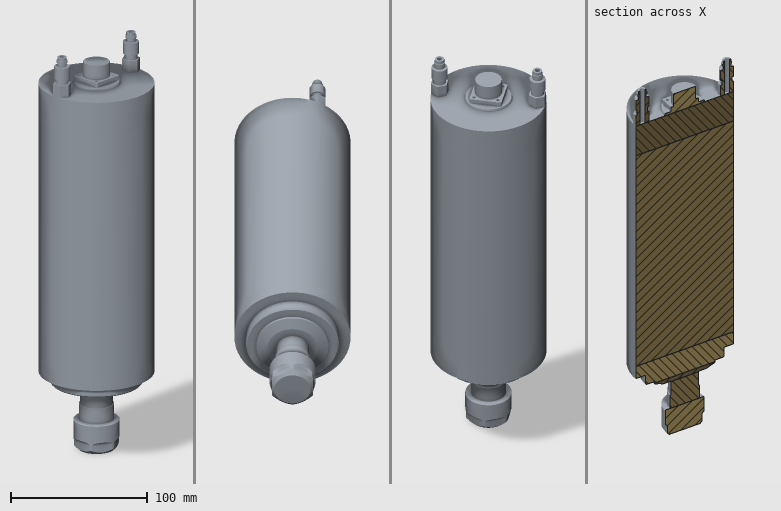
import cadquery as cq
import math


HEX_SIDES = 6

NUT_TOP = 23.3
SHAFT_STEP = 35.0
RING_BOTTOM = 47.0
RING_TOP = 50.7
BOSS_BOTTOM = 51.7
FRONT_CAP_BOTTOM = 60.2
HOUSING_BOTTOM = 71.5
HOUSING_TOP = 259.0
REAR_CAP_TOP = 285.0
FITTING_TOP = 315.0

BODY_RADIUS = 42.5
BOSS_RADIUS = 34.0
BOSS_CHAMFER = 1.0

RING_RADIUS = 26.5
RING_TIP_RADIUS = 18.5
RING_RIM_HEIGHT = 1.0

SHAFT_RADIUS = 12.0
SHAFT_NOSE_RADIUS = 13.0

NUT_RADIUS = 17.0
NUT_HEX_ACROSS_FLATS = 30.2
NUT_FLAT_TOP = 7.2
NUT_RUNOUT_RADIUS = 2.8
NUT_TIP_CHAMFER_HEIGHT = 3.5
NUT_TIP_CHAMFER_WIDTH = 3.8
NUT_TOP_CHAMFER = 0.5

SEAT_RADIUS = 17.5
SEAT_TOP_RADIUS = 17.0
SEAT_HEIGHT = 2.0
FLANGE_SIDE = 24.0
FLANGE_HEIGHT = 3.8
FLANGE_CORNER_RADIUS = 1.1
SCREW_HOLE_RADIUS = 1.3
SCREW_HOLE_SPACING = 18.0
PLUG_RADIUS = 9.8
PLUG_HEIGHT = 11.0

FITTING_OFFSET = 36.5
FITTING_HEX_ACROSS_FLATS = 11.5
FITTING_HEX_HEIGHT = 9.5
FITTING_NECK_RADIUS = 4.7
FITTING_NECK_HEIGHT = 3.8
FITTING_COLLAR_RADIUS = FITTING_HEX_ACROSS_FLATS / 2
FITTING_COLLAR_HEIGHT = 9.5
SPOUT_RADIUS = 3.5
SPOUT_BEAD_RADIUS = 4.0
SPOUT_BEAD_HEIGHT = 2.0
SPOUT_BEAD_BELOW_TOP = 2.5
FITTING_BORE_RADIUS = 2.0


def hex_corner_diameter(across_flats):
    return across_flats / math.cos(math.pi / HEX_SIDES)


def cylinder(radius, bottom, top):
    return cq.Workplane("XY").workplane(offset=bottom).circle(radius).extrude(top - bottom)


def revolved(profile):
    """Turn a closed (radius, z) profile about the Z axis."""
    return cq.Workplane("XZ").polyline(profile).close().revolve(360, (0, 0, 0), (0, 1, 0))


def make_front_cap():
    cap = cylinder(BODY_RADIUS, FRONT_CAP_BOTTOM, HOUSING_BOTTOM)
    boss = cylinder(BOSS_RADIUS, BOSS_BOTTOM, FRONT_CAP_BOTTOM).faces("<Z").chamfer(BOSS_CHAMFER)
    ring_seat = cylinder(RING_RADIUS, RING_TOP, BOSS_BOTTOM)
    return cap.union(boss).union(ring_seat)


def make_bearing_ring():
    rim_bottom = RING_TOP - RING_RIM_HEIGHT
    return revolved([
        (0, RING_BOTTOM),
        (RING_TIP_RADIUS, RING_BOTTOM),
        (RING_RADIUS, rim_bottom),
        (RING_RADIUS, RING_TOP),
        (0, RING_TOP),
    ])


def make_shaft():
    nose = cylinder(SHAFT_NOSE_RADIUS, NUT_TOP, SHAFT_STEP)
    return nose.union(cylinder(SHAFT_RADIUS, SHAFT_STEP, RING_BOTTOM))


def make_collet_nut():
    nut = (
        cylinder(NUT_RADIUS, 0, NUT_TOP)
        .faces(">Z")
        .chamfer(NUT_TOP_CHAMFER)
        .faces("<Z")
        .chamfer(NUT_TIP_CHAMFER_HEIGHT, NUT_TIP_CHAMFER_WIDTH)
    )
    apothem = NUT_HEX_ACROSS_FLATS / 2
    arc_bend = NUT_RUNOUT_RADIUS * math.sqrt(0.5)
    flat_cutter = (
        cq.Workplane("XZ")
        .moveTo(apothem, 0)
        .lineTo(apothem, NUT_FLAT_TOP)
        .threePointArc(
            (apothem + NUT_RUNOUT_RADIUS - arc_bend, NUT_FLAT_TOP + arc_bend),
            (apothem + NUT_RUNOUT_RADIUS, NUT_FLAT_TOP + NUT_RUNOUT_RADIUS),
        )
        .lineTo(apothem + NUT_RUNOUT_RADIUS, 0)
        .close()
        .extrude(NUT_RADIUS, both=True)
    )
    flat_step = 360 / HEX_SIDES
    for i in range(HEX_SIDES):
        nut = nut.cut(flat_cutter.rotate((0, 0, 0), (0, 0, 1), (i + 0.5) * flat_step))
    return nut


def make_connector():
    flange_bottom = REAR_CAP_TOP + SEAT_HEIGHT
    flange_top = flange_bottom + FLANGE_HEIGHT
    seat = revolved([
        (0, REAR_CAP_TOP),
        (SEAT_RADIUS, REAR_CAP_TOP),
        (SEAT_TOP_RADIUS, flange_bottom),
        (0, flange_bottom),
    ])
    flange = (
        cq.Workplane("XY")
        .workplane(offset=flange_bottom)
        .rect(FLANGE_SIDE, FLANGE_SIDE)
        .extrude(FLANGE_HEIGHT)
        .edges("|Z")
        .fillet(FLANGE_CORNER_RADIUS)
        .faces(">Z")
        .workplane()
        .rect(SCREW_HOLE_SPACING, SCREW_HOLE_SPACING, forConstruction=True)
        .vertices()
        .hole(2 * SCREW_HOLE_RADIUS)
    )
    plug = cylinder(PLUG_RADIUS, flange_top, flange_top + PLUG_HEIGHT)
    return seat.union(flange).union(plug)


def make_fitting(y):
    neck_bottom = REAR_CAP_TOP + FITTING_HEX_HEIGHT
    collar_bottom = neck_bottom + FITTING_NECK_HEIGHT
    spout_bottom = collar_bottom + FITTING_COLLAR_HEIGHT
    bead_top = FITTING_TOP - SPOUT_BEAD_BELOW_TOP
    hexagon = (
        cq.Workplane("XY")
        .workplane(offset=REAR_CAP_TOP)
        .polygon(HEX_SIDES, hex_corner_diameter(FITTING_HEX_ACROSS_FLATS))
        .extrude(FITTING_HEX_HEIGHT)
    )
    fitting = (
        hexagon
        .union(cylinder(FITTING_NECK_RADIUS, neck_bottom, collar_bottom))
        .union(cylinder(FITTING_COLLAR_RADIUS, collar_bottom, spout_bottom))
        .union(cylinder(SPOUT_RADIUS, spout_bottom, FITTING_TOP))
        .union(cylinder(SPOUT_BEAD_RADIUS, bead_top - SPOUT_BEAD_HEIGHT, bead_top))
        .cut(cylinder(FITTING_BORE_RADIUS, REAR_CAP_TOP, FITTING_TOP))
    )
    return fitting.translate((0, y, 0))


collet_nut = make_collet_nut()
shaft = make_shaft()
bearing_ring = make_bearing_ring()
front_cap = make_front_cap()
housing = cylinder(BODY_RADIUS, HOUSING_BOTTOM, HOUSING_TOP)
rear_cap = cylinder(BODY_RADIUS, HOUSING_TOP, REAR_CAP_TOP)
connector = make_connector()
fittings = [make_fitting(side * FITTING_OFFSET) for side in (-1, 1)]

result = cq.Compound.makeCompound([
    collet_nut.val(),
    shaft.val(),
    bearing_ring.val(),
    front_cap.val(),
    housing.val(),
    rear_cap.val(),
    connector.val(),
    *[fitting.val() for fitting in fittings],
])